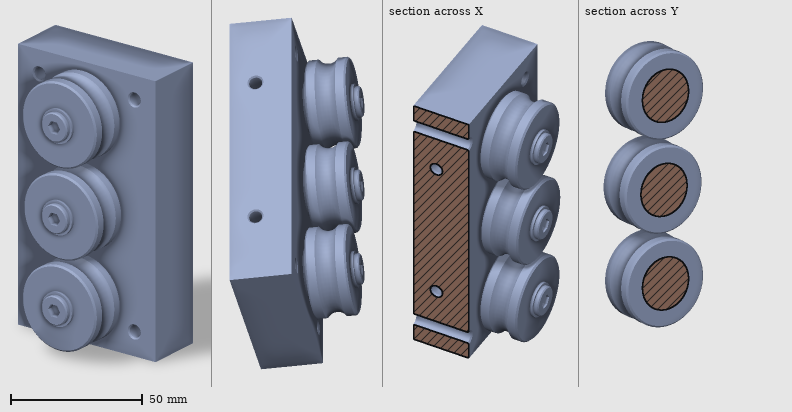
import cadquery as cq
import math

block_width = 65.0
block_depth = 24.0
block_height = 115.0

corner_inset_x = 10.0
corner_inset_z = 10.0
corner_hole_diameter = 5.1
hole_chamfer = 0.6

side_hole_diameter = 5.1
side_hole_depth = 11.5
side_hole_from_back = 10.0
side_hole_spacing = 60.0
drill_tip_angle = 118.0

roller_pitch = 37.5
roller_diameter = 35.0
roller_width = 16.0
roller_chamfer = 0.7
groove_width = 7.8
groove_depth = 2.0
middle_roller_offset = 0.7

collar_diameter = 21.2
collar_length = 2.0
collar_chamfer = 0.7

washer_diameter = 14.0
washer_thickness = 1.2
head_diameter = 12.0
head_height = 2.0
head_chamfer = 0.5
socket_across_flats = 5.0
socket_depth = 2.5

roller_front = collar_length + roller_width
washer_front = roller_front + washer_thickness
head_front = washer_front + head_height


def disc(diameter, length, distance, x, z):
    """Cylinder pointing forward (-Y), starting at a distance from the block face."""
    return cq.Workplane("XZ", origin=(x, -distance, z)).circle(diameter / 2).extrude(length)


def make_block():
    """Plain block with the corner holes and the side holes cut out."""
    block = cq.Workplane("XY").box(block_width, block_depth, block_height)
    block = block.translate((0, block_depth / 2, 0))
    corner_x = block_width / 2 - corner_inset_x
    corner_z = block_height / 2 - corner_inset_z
    for x in (-corner_x, corner_x):
        for z in (-corner_z, corner_z):
            block = block.cut(corner_hole(x, z))
    for z in (-side_hole_spacing / 2, side_hole_spacing / 2):
        block = block.cut(side_hole(z))
    return block


def corner_hole(x, z):
    """Through hole with a chamfered mouth on the front face."""
    radius = corner_hole_diameter / 2
    profile = [
        (0, 0),
        (radius + hole_chamfer, 0),
        (radius, hole_chamfer),
        (radius, block_depth),
        (0, block_depth),
    ]
    hole = cq.Workplane("XY").polyline(profile).close().revolve(360, (0, 0), (0, 1))
    return hole.translate((x, 0, z))


def side_hole(z):
    """Blind hole along +X with a chamfered mouth and a conical drill tip."""
    radius = side_hole_diameter / 2
    tip_length = radius / math.tan(math.radians(drill_tip_angle / 2))
    profile = [
        (0, 0),
        (0, radius + hole_chamfer),
        (hole_chamfer, radius),
        (side_hole_depth, radius),
        (side_hole_depth + tip_length, 0),
    ]
    hole = cq.Workplane("XY").polyline(profile).close().revolve(360, (0, 0), (1, 0))
    return hole.translate((-block_width / 2, block_depth - side_hole_from_back, z))


def make_roller(x, z):
    """Roller with chamfered rims and a groove of circular section, together with its rear collar."""
    radius = roller_diameter / 2
    groove_centre = -(collar_length + roller_width / 2)
    profile = (
        cq.Workplane("XY")
        .moveTo(0, -collar_length)
        .lineTo(radius - roller_chamfer, -collar_length)
        .lineTo(radius, -collar_length - roller_chamfer)
        .lineTo(radius, groove_centre + groove_width / 2)
        .threePointArc((radius - groove_depth, groove_centre), (radius, groove_centre - groove_width / 2))
        .lineTo(radius, -roller_front + roller_chamfer)
        .lineTo(radius - roller_chamfer, -roller_front)
        .lineTo(0, -roller_front)
        .close()
    )
    roller = profile.revolve(360, (0, 0), (0, 1)).translate((x, 0, z))
    collar = disc(collar_diameter, collar_length, 0, x, z).faces(">Y").chamfer(collar_chamfer)
    return roller.union(collar)


def make_screw(x, z):
    """Washer and chamfered screw head with a hexagonal socket whose corners point along X."""
    washer = disc(washer_diameter, washer_thickness, roller_front, x, z)
    head = disc(head_diameter, head_height, washer_front, x, z).faces("<Y").chamfer(head_chamfer)
    socket_across_corners = socket_across_flats / math.cos(math.pi / 6)
    socket = (
        cq.Workplane("XZ", origin=(x, -head_front + socket_depth, z))
        .polygon(6, socket_across_corners)
        .extrude(socket_depth)
    )
    return washer.union(head).cut(socket)


result = make_block()
for roller_z in (-roller_pitch, 0, roller_pitch):
    roller_x = middle_roller_offset if roller_z == 0 else 0
    result = result.union(make_roller(roller_x, roller_z))
    result = result.union(make_screw(0, roller_z))